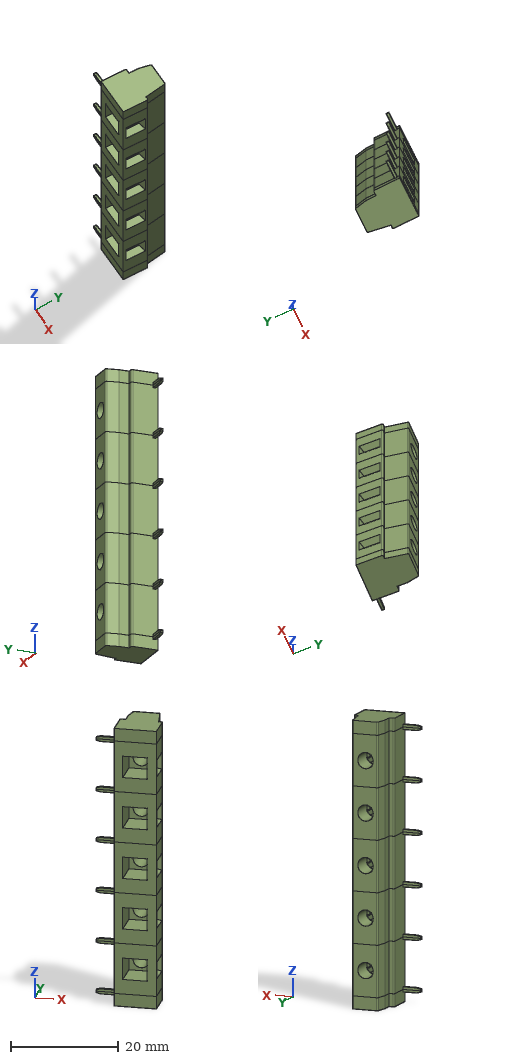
import cadquery as cq
import math

length = 55.0
pole_count = 5
pitch = length / (pole_count + 0.5)
end_thickness = pitch / 4

width = 8.1
depth = 10.0
shoulder_depth = 5.45
pin_side_shoulder = 1.05
screw_side_shoulder = 0.75
taper_start = 7.5
pin_side_inset = 1.55
screw_side_inset = 1.5
corner_radius = 0.3

pocket_left = 1.65
pocket_width = 4.7
pocket_height = 4.25
pocket_depth = 5.5
rear_hole_diameter = 3.1

access_front = 1.15
access_length = 3.15
access_height = 2.25
throat_length = 0.35
flare_angle = 20.0

pin_length = 3.5
pin_half_height = 0.5
pin_thickness = 0.55
pin_setback = 0.5
tip_length = 0.75
tip_half_height = 0.3

pocket_center = pocket_left + pocket_width / 2
pocket_right = pocket_left + pocket_width


def make_slab(thickness):
    """Stepped profile with rounded convex rear corners, standing on Z = 0."""
    slab = (
        cq.Workplane("XY")
        .moveTo(0, 0)
        .lineTo(width, 0)
        .lineTo(width, shoulder_depth)
        .lineTo(width - screw_side_shoulder, shoulder_depth)
        .lineTo(width - screw_side_inset, depth)
        .lineTo(pin_side_inset, depth)
        .lineTo(pin_side_shoulder, taper_start)
        .lineTo(pin_side_shoulder, shoulder_depth)
        .lineTo(0, shoulder_depth)
        .close()
        .extrude(thickness)
    )
    shoulder_corners = [(0, shoulder_depth), (width, shoulder_depth)]
    rear_corners = [(pin_side_inset, depth), (width - screw_side_inset, depth)]
    for x, y in shoulder_corners + rear_corners:
        corner = cq.selectors.NearestToPointSelector((x, y, thickness / 2))
        slab = slab.edges("|Z").edges(corner).fillet(corner_radius)
    return slab


def make_half_pin():
    """Upper half of a pin whose split face lies on Z = 0."""
    return (
        cq.Workplane("XZ", origin=(0, pin_setback, 0))
        .lineTo(0, pin_half_height)
        .lineTo(tip_length - pin_length, pin_half_height)
        .lineTo(-pin_length, tip_half_height)
        .lineTo(-pin_length, 0)
        .close()
        .extrude(-pin_thickness)
    )


def make_wire_pocket(level):
    pocket = (
        cq.Workplane("XZ", origin=(pocket_center, 0, level))
        .rect(pocket_width, pocket_height)
        .extrude(-pocket_depth)
    )
    rear_hole = (
        cq.Workplane("XZ", origin=(pocket_center, 0, level))
        .circle(rear_hole_diameter / 2)
        .extrude(-depth)
    )
    return pocket.union(rear_hole)


def make_screw_access(level):
    access_center = access_front + access_length / 2
    throat = (
        cq.Workplane("YZ", origin=(pocket_center, access_center, level))
        .rect(access_length, access_height)
        .extrude(pocket_right + throat_length - pocket_center)
    )
    flare_depth = width - pocket_right - throat_length
    flare_growth = 2 * flare_depth * math.tan(math.radians(flare_angle))
    flare = (
        cq.Workplane("YZ", origin=(pocket_right + throat_length, access_center, level))
        .rect(access_length, access_height)
        .workplane(offset=flare_depth)
        .rect(access_length + flare_growth, access_height + flare_growth)
        .loft(ruled=True)
    )
    return throat.union(flare)


def make_pole_block(center_level):
    """Block with one wire entry and half a pin along each of its two ends."""
    lower_pin = make_half_pin()
    upper_pin = make_half_pin().mirror("XY").translate((0, 0, pitch))
    block = make_slab(pitch).union(lower_pin).union(upper_pin)
    block = block.cut(make_wire_pocket(pitch / 2)).cut(make_screw_access(pitch / 2))
    return block.translate((0, 0, center_level - pitch / 2))


def make_end_plate(is_top):
    """Plain plate with half a pin along the face that meets the pole blocks."""
    plate = make_slab(end_thickness).union(make_half_pin())
    plate = plate.translate((0, 0, length / 2 - end_thickness))
    return plate if is_top else plate.mirror("XY")


pole_levels = [(i - (pole_count - 1) / 2) * pitch for i in range(pole_count)]
pole_blocks = [make_pole_block(level) for level in pole_levels]

end_plates = [make_end_plate(is_top) for is_top in (True, False)]

result = cq.Compound.makeCompound(
    [
        *[plate.val() for plate in end_plates],
        *[block.val() for block in pole_blocks],
    ]
)